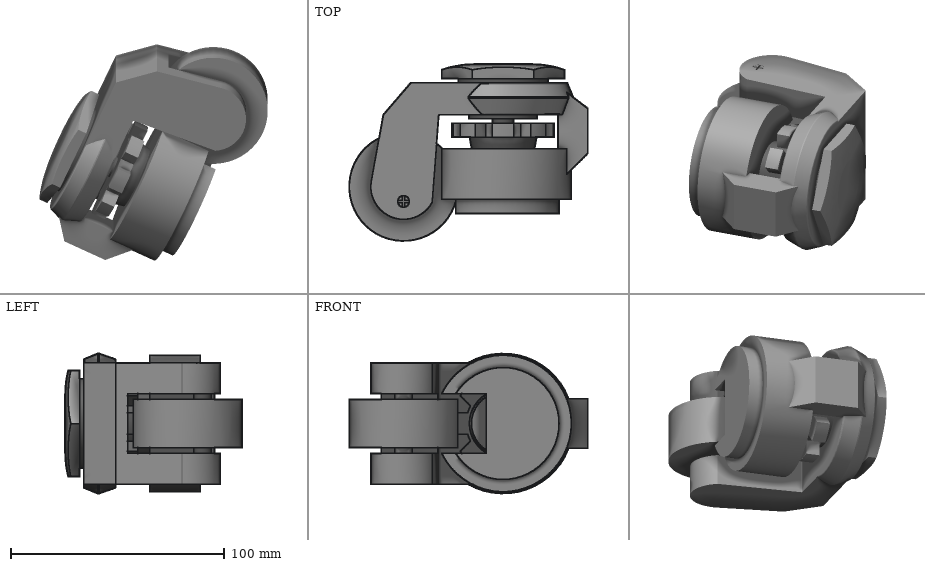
import cadquery as cq
import math


wheel_x = -46.6
wheel_y = -48.7
wheel_radius = 51.0 / 2
wheel_width = 22.6
pin_y = -55.7
pin_diameter = 8.0
fork_radius = 15.3
slot_width = 28.0
slot_floor_y = -20.7

frame_width = 56.9
frame_thickness = 15.1
frame_corner_x = -43.2
shoulder = (-56.1, -15.1)
fork_inner_corner_x = -30.1
fork_inner_end = (-33.2, -56.1)
inner_fillet = 0.5

flange_radius = 30.1
ridge_radius = 65.6 / 2
flange_round = 0.9
ridge_top_y = -6.7
ridge_bottom_y = -7.3

hex_bottom_y = 1.9
hex_top_y = 8.7
hex_flats = 49.9
dome_flat_radius = 13.4
dome_arc_radius = 44.7
collar_diameter = 42.1

washer_bottom_y = -17.0
washer_diameter = 32.0
stem_diameter = 10.0
gear_top_y = -19.0
gear_bottom_y = -25.5
tooth_count = 8
tooth_width = 10.0
gear_tip_radius = 23.9
gear_root_radius = 17.3
neck_top_radius = 15.8
neck_bottom_radius = 14.8

foot_top_y = -31.0
foot_bottom_y = -54.7
foot_radius = 32.0
pad_bottom_y = -61.4
pad_diameter = 52.4
pocket_wall_x = -7.9

arm_width = 23.3
arm_inner_x = 25.7
arm_outer_x = 39.7
arm_top_inner_y = -1.5
arm_top_outer_y = -12.1
arm_bottom_outer_y = -33.2
arm_bottom_inner_y = -47.0

screw_diameter = 5.4
cross_width = 1.0
cross_depth = 1.3
head_recess = 0.1


def disc(radius, top_y, bottom_y):
    """Cylinder on the swivel axis."""
    return cq.Workplane("XZ", origin=(0, top_y, 0)).circle(radius).extrude(top_y - bottom_y)


def block(x_min, x_max, y_min, y_max, width):
    """Box that is centred on Z = 0."""
    size = (x_max - x_min, y_max - y_min, width)
    return cq.Workplane("XY").box(*size).translate(((x_min + x_max) / 2, (y_min + y_max) / 2, 0))


def centred_cylinder(x, y, diameter, width):
    """Cylinder along Z that is centred on Z = 0."""
    return cq.Workplane("XY", origin=(x, y, -width / 2)).circle(diameter / 2).extrude(width)


def turned(points):
    """Solid of revolution about the swivel axis from (radius, y) points."""
    return cq.Workplane("XY").polyline(points).close().revolve(360, (0, 0, 0), (0, 1, 0))


def outer_tangent_point():
    """Point where the straight outer side of the fork, from the shoulder, meets the round end."""
    dx = wheel_x - shoulder[0]
    dy = wheel_y - shoulder[1]
    side_angle = math.atan2(dy, dx) - math.asin(fork_radius / math.hypot(dx, dy))
    normal = side_angle - math.pi / 2
    return wheel_x + fork_radius * math.cos(normal), wheel_y + fork_radius * math.sin(normal)


def make_frame():
    body = (
        cq.Workplane("XY", origin=(0, 0, -frame_width / 2))
        .moveTo(0, 0)
        .lineTo(frame_corner_x, 0)
        .lineTo(*shoulder)
        .lineTo(*outer_tangent_point())
        .threePointArc((wheel_x, wheel_y - fork_radius), fork_inner_end)
        .lineTo(fork_inner_corner_x, -frame_thickness)
        .lineTo(0, -frame_thickness)
        .close()
        .extrude(frame_width)
    )
    inner_corner = cq.selectors.NearestToPointSelector((fork_inner_corner_x, -frame_thickness, 0))
    body = body.edges("|Z").edges(inner_corner).fillet(inner_fillet)
    reach = 2 * fork_radius
    slot = block(wheel_x - reach, wheel_x + reach, wheel_y - reach, slot_floor_y, slot_width)
    return body.cut(slot)


def make_flange():
    ring = turned([
        (0, 0),
        (flange_radius, 0),
        (ridge_radius, ridge_top_y),
        (ridge_radius, ridge_bottom_y),
        (flange_radius, -frame_thickness),
        (0, -frame_thickness),
    ])
    return ring.faces("<Y or >Y").edges().fillet(flange_round)


def make_hex_head():
    corner_diameter = hex_flats / math.cos(math.pi / 6)
    prism = (
        cq.Workplane("XZ", origin=(0, hex_top_y, 0))
        .polygon(6, corner_diameter)
        .extrude(hex_top_y - hex_bottom_y)
    )
    corner_radius = corner_diameter / 2

    def rim_point(radius):
        run = radius - dome_flat_radius
        drop = dome_arc_radius - math.sqrt(dome_arc_radius ** 2 - run ** 2)
        return radius, hex_top_y - drop

    dome = (
        cq.Workplane("XY")
        .moveTo(0, hex_bottom_y)
        .lineTo(0, hex_top_y)
        .lineTo(dome_flat_radius, hex_top_y)
        .threePointArc(rim_point((dome_flat_radius + corner_radius) / 2), rim_point(corner_radius))
        .lineTo(corner_radius, hex_bottom_y)
        .close()
        .revolve(360, (0, 0, 0), (0, 1, 0))
    )
    return prism.intersect(dome).union(disc(collar_diameter / 2, hex_bottom_y, 0))


def make_gear():
    gear = disc(gear_root_radius, gear_top_y, gear_bottom_y)
    tip_envelope = disc(gear_tip_radius, gear_top_y, gear_bottom_y)
    tooth_pair = block(-gear_tip_radius, gear_tip_radius, gear_bottom_y, gear_top_y, tooth_width)
    for index in range(tooth_count // 2):
        gear = gear.union(tooth_pair.rotate((0, 0, 0), (0, 1, 0), index * 360 / tooth_count))
    return gear.intersect(tip_envelope)


def make_column():
    washer = disc(washer_diameter / 2, -frame_thickness, washer_bottom_y)
    stem = disc(stem_diameter / 2, washer_bottom_y, gear_top_y)
    neck = turned([
        (0, gear_bottom_y),
        (neck_top_radius, gear_bottom_y),
        (neck_bottom_radius, foot_top_y),
        (0, foot_top_y),
    ])
    return washer.union(stem).union(make_gear()).union(neck)


def make_foot():
    body = disc(foot_radius, foot_top_y, foot_bottom_y)
    pad = disc(pad_diameter / 2, foot_bottom_y, pad_bottom_y)
    wheel_pocket = block(-foot_radius, pocket_wall_x, pad_bottom_y, foot_top_y, slot_width)
    return body.union(pad).cut(wheel_pocket)


def make_arm():
    return (
        cq.Workplane("XY", origin=(0, 0, -arm_width / 2))
        .moveTo(arm_inner_x, arm_top_inner_y)
        .lineTo(arm_outer_x, arm_top_outer_y)
        .lineTo(arm_outer_x, arm_bottom_outer_y)
        .lineTo(arm_inner_x, arm_bottom_inner_y)
        .close()
        .extrude(arm_width)
    )


def make_screw_recess():
    """Screw head set just below the fork face, with a deeper cross slot."""
    head_plane = cq.Workplane("XY", origin=(wheel_x, pin_y, frame_width / 2))
    recess = head_plane.circle(screw_diameter / 2).extrude(-head_recess)
    bore = head_plane.circle(screw_diameter / 2).extrude(-cross_depth)
    for bar in ((screw_diameter, cross_width), (cross_width, screw_diameter)):
        recess = recess.union(bore.intersect(head_plane.rect(*bar).extrude(-cross_depth)))
    return recess


wheel = centred_cylinder(wheel_x, wheel_y, 2 * wheel_radius, wheel_width)
pin = centred_cylinder(wheel_x, pin_y, pin_diameter, slot_width)

result = make_frame()
for piece in (make_flange(), make_hex_head(), make_column(), make_foot(), make_arm(), wheel, pin):
    result = result.union(piece)
result = result.cut(make_screw_recess())